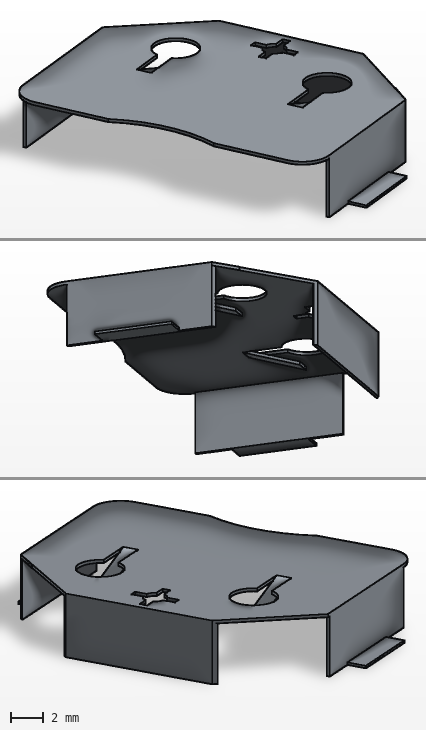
import cadquery as cq
total_length = 24.0
total_depth = 16.12
total_height = 4.16
sheet = 0.22

plate_length = 21.45
side_x = plate_length / 2
back_y = total_depth / 2
front_y = -total_depth / 2
back_edge_left = -5.0
back_edge_right = 5.1
left_bevel_depth = 4.33
right_bevel_depth = 4.72
corner_radius = 1.88
notch_width = 7.4
notch_rise = 0.74
plate_bottom = total_height - sheet

side_wall_back_y = back_y - 4.55
side_wall_front_y = front_y + corner_radius
foot_thickness = 0.17
foot_width = 5.05
foot_center_y = back_y - 9.38

keyhole_spacing = 10.6
keyhole_diameter = 3.0
keyhole_y = back_y - 4.87
tongue_width = 1.02
tongue_root_y = back_y - 8.84
tongue_tip_y = back_y - 5.08
tongue_drop = 1.52
back_wall_length = keyhole_spacing

cross_y = back_y - 2.0
cross_span = 3.0
cross_arm_width = 0.52
cross_hub_diameter = 1.5

wedge_start_x = side_x - 1.45
wedge_thickness = 0.05


def block(x_range, y_range, z_range):
    """Box given by its limits along each axis."""
    low, high = zip(x_range, y_range, z_range)
    size = [end - start for start, end in zip(low, high)]
    return cq.Workplane("XY").box(*size, centered=False).translate(low)


def outline_prism(z_bottom):
    """Plate outline, extruded from the given height up to the top of the clip."""
    half_notch = notch_width / 2
    prism = (
        cq.Workplane("XY", origin=(0, 0, z_bottom))
        .moveTo(-side_x, front_y)
        .lineTo(-half_notch, front_y)
        .threePointArc((0, front_y + notch_rise), (half_notch, front_y))
        .lineTo(side_x, front_y)
        .lineTo(side_x, back_y - right_bevel_depth)
        .lineTo(back_edge_right, back_y)
        .lineTo(back_edge_left, back_y)
        .lineTo(-side_x, back_y - left_bevel_depth)
        .close()
        .extrude(total_height - z_bottom)
    )
    return prism.faces("<Y").edges("|Z").edges("<X or >X").fillet(corner_radius)


def walls():
    """Back wall and two side walls, trimmed to the plate outline."""
    z_range = (0, total_height)
    half_back = back_wall_length / 2
    side_y_range = (side_wall_front_y, side_wall_back_y)
    back = block((-half_back, half_back), (back_y - sheet, back_y), z_range)
    left = block((-side_x, -side_x + sheet), side_y_range, z_range)
    right = block((side_x - sheet, side_x), side_y_range, z_range)
    return back.union(left).union(right).intersect(outline_prism(0))


def foot(side):
    """Solder foot turned outward from the bottom of the wall on one side (-1 or 1)."""
    x_range = sorted((side * (side_x - sheet), side * total_length / 2))
    y_range = (foot_center_y - foot_width / 2, foot_center_y + foot_width / 2)
    return block(x_range, y_range, (0, foot_thickness))


def keyhole(x):
    """Round hole running into the slot that the bent tongue leaves open."""
    hole = (
        cq.Workplane("XY", origin=(x, keyhole_y, plate_bottom))
        .circle(keyhole_diameter / 2)
        .extrude(sheet)
    )
    slot = block(
        (x - tongue_width / 2, x + tongue_width / 2),
        (tongue_root_y, keyhole_y),
        (plate_bottom, total_height),
    )
    return hole.union(slot)


def tongue(x):
    """Contact tongue sloping down from the slot end towards the back."""
    tip_bottom = total_height - tongue_drop
    return (
        cq.Workplane("YZ", origin=(x - tongue_width / 2, 0, 0))
        .moveTo(tongue_root_y, total_height)
        .lineTo(tongue_tip_y, tip_bottom + sheet)
        .lineTo(tongue_tip_y, tip_bottom)
        .lineTo(tongue_root_y, plate_bottom)
        .close()
        .extrude(tongue_width)
    )


def cross_opening():
    """Round hub with four square-ended arms."""
    plane = cq.Workplane("XY", origin=(0, cross_y, plate_bottom))
    hub = plane.circle(cross_hub_diameter / 2).extrude(sheet)
    arm_along_x = plane.rect(cross_span, cross_arm_width).extrude(sheet)
    arm_along_y = plane.rect(cross_arm_width, cross_span).extrude(sheet)
    return hub.union(arm_along_x).union(arm_along_y)


def make_clip():
    """Plate with its walls, feet, openings and tongues, all one bent sheet."""
    clip = outline_prism(plate_bottom).union(walls())
    for side in (-1, 1):
        clip = clip.union(foot(side))
    clip = clip.cut(cross_opening())
    for x in (-keyhole_spacing / 2, keyhole_spacing / 2):
        clip = clip.cut(keyhole(x)).union(tongue(x))
    return clip


def make_bevel_wedge():
    """Sliver as deep as the plate, against the right bevel and tapering to nothing at the side."""
    bevel_end_y = back_y - right_bevel_depth
    bevel_slope = right_bevel_depth / (side_x - back_edge_right)
    wedge_start_y = bevel_end_y + bevel_slope * (side_x - wedge_start_x)
    return (
        cq.Workplane("XY", origin=(0, 0, plate_bottom))
        .moveTo(wedge_start_x, wedge_start_y)
        .lineTo(side_x, bevel_end_y)
        .lineTo(wedge_start_x, wedge_start_y + wedge_thickness)
        .close()
        .extrude(sheet)
    )


clip = make_clip()
bevel_wedge = make_bevel_wedge()

result = cq.Compound.makeCompound([*clip.solids().vals(), bevel_wedge.val()])